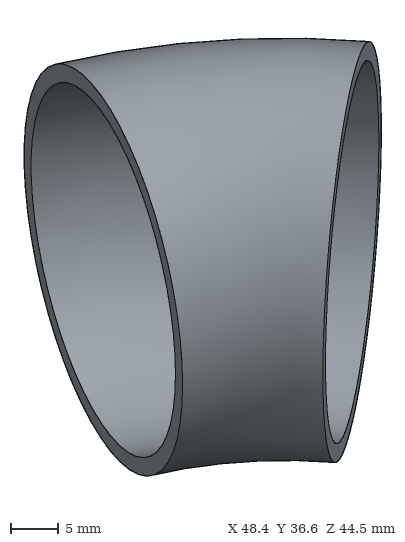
import cadquery as cq

outer_diameter = 44.5
wall_thickness = 2.0
bend_radius = 51.0
bend_angle = 30.0

inner_diameter = outer_diameter - 2 * wall_thickness


def bent_tube():
    """Sweep the tube's ring section about a Z axis at X = bend_radius.

    The inlet face lies in the XZ plane, centred on the origin, and the tube
    runs toward +Y while curving toward +X.
    """
    ring = cq.Workplane("XZ").circle(outer_diameter / 2).circle(inner_diameter / 2)
    axis_start = (bend_radius, 0)
    axis_end = (bend_radius, -1)
    return ring.revolve(bend_angle, axis_start, axis_end)


result = bent_tube()